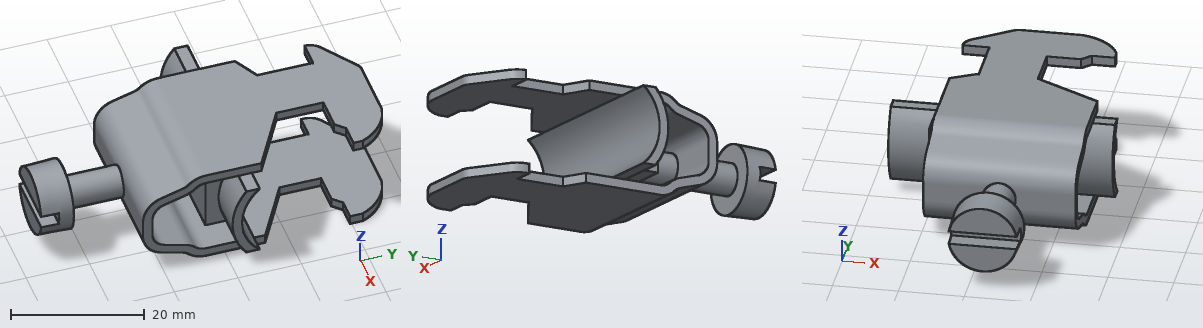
import cadquery as cq
import math


bracket_width = 23.1
bracket_height = 16.0
bracket_length = 39.6
sheet = 1.5
web_half_height = 1.55
corner_radius = 4.0
slope_angle = 16.0
recess_radius = 2.05
shoulder_angle = 44.0
shoulder_radius = 4.0

left_neck_x = -7.5
left_hook_y = 33.1
left_neck_bottom_y = 24.35
left_foot_y = 22.15
right_neck_x = 1.5
right_hook_y = 31.7
right_step_x = 6.7
right_step_height = 1.4
right_neck_bottom_y = 24.35
right_foot_y = 18.6
lower_arm_margin = 0.55
left_shoulder_x = -4.45
left_shoulder_y = 34.5
left_shoulder_radius = 2.75
left_top_radius = 2.0
nose_start_x = 5.5
nose_middle = (9.1, 37.9)
nose_end_y = 34.6

shank_diameter = 5.05
shank_end_y = 10.5
tip_diameter = 3.05
head_diameter = 10.85
head_end_diameter = 10.5
head_base_y = -8.8
head_height = 5.1
slot_width = 2.1
slot_depth = 2.8

saddle_length = 34.0
saddle_center_x = -2.2
saddle_height = 12.1
saddle_inner_radius = 7.95
saddle_thickness = 1.5
saddle_apex_y = 13.0
block_length = 20.85
block_height = 9.95
block_face_y = 10.9

half_width = bracket_width / 2
half_height = bracket_height / 2
corner_reach = 0.55
cut_margin = 2.7


def upper_bend_arcs(inset):
    """Start, middle and end (y, z) of the three upper bends, at a depth below the outer skin."""
    slope = math.radians(slope_angle)
    steepest = math.radians(shoulder_angle)
    bend_rise = (
        web_half_height
        + corner_radius * math.cos(slope)
        + recess_radius * (math.cos(slope) - math.cos(steepest))
        + shoulder_radius * (1 - math.cos(steepest))
    )
    wall_length = (half_height - bend_rise) / math.sin(slope)

    corner_y = corner_radius
    corner_z = web_half_height
    recess_y = (
        corner_y
        + wall_length * math.cos(slope)
        - (corner_radius + recess_radius) * math.sin(slope)
    )
    recess_z = (
        corner_z
        + wall_length * math.sin(slope)
        + (corner_radius + recess_radius) * math.cos(slope)
    )
    shoulder_y = recess_y + (recess_radius + shoulder_radius) * math.sin(steepest)
    shoulder_z = half_height - shoulder_radius

    bends = [
        (corner_y, corner_z, corner_radius - inset, math.pi / 2, slope),
        (recess_y, recess_z, -(recess_radius + inset), slope, steepest),
        (shoulder_y, shoulder_z, shoulder_radius - inset, steepest, 0.0),
    ]
    return [
        [
            (y - radius * math.sin(direction), z + radius * math.cos(direction))
            for direction in (start, (start + end) / 2, end)
        ]
        for y, z, radius, start, end in bends
    ]


def strap_envelope(inset, end_y):
    """Solid bounded by the bent strap skin at the given depth, closed at end_y."""
    corner, recess, shoulder = upper_bend_arcs(inset)
    skin_z = half_height - inset
    half_profile = (
        cq.Workplane("YZ")
        .moveTo(inset, 0)
        .lineTo(*corner[0])
        .threePointArc(*corner[1:])
        .lineTo(*recess[0])
        .threePointArc(*recess[1:])
        .threePointArc(*shoulder[1:])
        .lineTo(end_y, skin_z)
        .lineTo(end_y, 0)
        .close()
    )
    upper_half = half_profile.extrude(half_width, both=True)
    return upper_half.union(upper_half.mirror("XY"))


def arm_blank():
    """Arm outline with its rounded end, before the notches are cut."""
    blank = (
        cq.Workplane("XY")
        .workplane(offset=-half_height)
        .moveTo(-half_width, 0)
        .lineTo(-half_width, left_shoulder_y)
        .lineTo(left_shoulder_x, bracket_length)
        .lineTo(nose_start_x, bracket_length)
        .threePointArc(nose_middle, (half_width, nose_end_y))
        .lineTo(half_width, 0)
        .close()
        .extrude(bracket_height)
    )
    left_corners = [
        (-half_width, left_shoulder_y, left_shoulder_radius),
        (left_shoulder_x, bracket_length, left_top_radius),
    ]
    for x, y, radius in left_corners:
        corner = cq.selectors.BoxSelector(
            (x - corner_reach, y - corner_reach, -corner_reach),
            (x + corner_reach, y + corner_reach, corner_reach),
        )
        blank = blank.edges("|Z").edges(corner).fillet(radius)
    return blank


def notch_cutter(points, shrink, bottom_z):
    """Cutter through one arm; shrink leaves extra material around the notch."""
    outline = cq.Workplane("XY").workplane(offset=bottom_z).polyline(points).close()
    if shrink > 0:
        outline = outline.offset2D(-shrink, "intersection")
    return outline.extrude(half_height)


def beyond_foot(neck, foot):
    """Point on the neck-to-foot slope, continued past the bracket's side."""
    slope = (foot[1] - neck[1]) / (foot[0] - neck[0])
    x = foot[0] + math.copysign(cut_margin, foot[0])
    return (x, foot[1] + slope * (x - foot[0]))


def make_bracket():
    strap = strap_envelope(0, bracket_length).cut(
        strap_envelope(sheet, bracket_length + cut_margin)
    )
    bracket = strap.intersect(arm_blank())

    left_neck = (left_neck_x, left_neck_bottom_y)
    left_notch = [
        (-half_width - cut_margin, left_hook_y),
        (left_neck_x, left_hook_y),
        left_neck,
        beyond_foot(left_neck, (-half_width, left_foot_y)),
    ]
    right_neck = (right_neck_x, right_neck_bottom_y)
    right_tip_y = right_hook_y + right_step_height
    right_notch = [
        (half_width + cut_margin, right_tip_y),
        (right_step_x + right_step_height, right_tip_y),
        (right_step_x, right_hook_y),
        (right_neck_x, right_hook_y),
        right_neck,
        beyond_foot(right_neck, (half_width, right_foot_y)),
    ]
    for shrink, bottom_z in ((0, 0), (lower_arm_margin, -half_height)):
        for notch in (left_notch, right_notch):
            bracket = bracket.cut(notch_cutter(notch, shrink, bottom_z))

    screw_hole = rod(shank_diameter, -cut_margin, sheet + cut_margin)
    return bracket.cut(screw_hole)


def rod(diameter, start_y, end_y):
    """Cylinder on the screw axis."""
    return (
        cq.Workplane("XZ").workplane(offset=-end_y).circle(diameter / 2).extrude(end_y - start_y)
    )


def make_screw():
    shank = rod(shank_diameter, head_base_y, shank_end_y)
    tip = rod(tip_diameter, shank_end_y, block_face_y)
    head = (
        cq.Workplane("XZ")
        .workplane(offset=-head_base_y)
        .circle(head_diameter / 2)
        .workplane(offset=head_height)
        .circle(head_end_diameter / 2)
        .loft()
    )
    slot = cq.Workplane("XY").box(2 * head_diameter, 2 * slot_depth, slot_width)
    slot = slot.translate((0, head_base_y - head_height, 0))
    return shank.union(tip).union(head).cut(slot)


def make_saddle():
    """Curved pressure plate with the block on its back that the screw pushes on."""
    outer_radius = saddle_inner_radius + saddle_thickness
    center_y = saddle_apex_y + outer_radius
    front_y = center_y - math.sqrt(saddle_inner_radius**2 - (saddle_height / 2) ** 2)

    def lengthwise_cylinder(radius):
        return (
            cq.Workplane("YZ")
            .center(center_y, 0)
            .circle(radius)
            .extrude(saddle_length / 2, both=True)
        )

    def lengthwise_box(length, height, start_y, end_y):
        box = cq.Workplane("XY").box(length, end_y - start_y, height)
        return box.translate((0, (start_y + end_y) / 2, 0))

    bore = lengthwise_cylinder(saddle_inner_radius)
    plate_limits = lengthwise_box(saddle_length, saddle_height, saddle_apex_y, front_y)
    plate = lengthwise_cylinder(outer_radius).intersect(plate_limits)
    block = lengthwise_box(block_length, block_height, block_face_y, center_y)
    block = block.cut(lengthwise_cylinder(outer_radius))
    block = block.intersect(lengthwise_box(block_length, block_height, block_face_y, front_y))
    return plate.cut(bore).union(block).translate((saddle_center_x, 0, 0))


bracket = make_bracket()
screw = make_screw()
saddle = make_saddle()

result = cq.Compound.makeCompound(
    [*bracket.solids().vals(), *screw.solids().vals(), *saddle.solids().vals()]
)